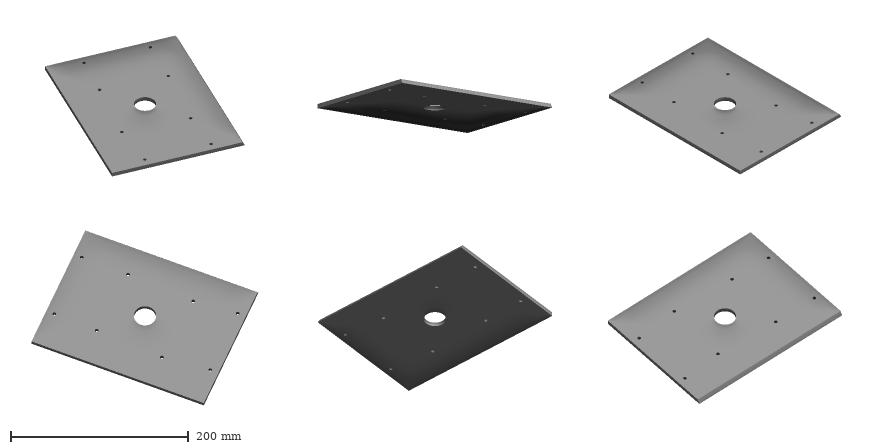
import cadquery as cq
import math

length = 210.0
depth = 160.0
thickness = 5.0
turn_angle = 3.0

bevel_angle = 30.0
bevel_inset = thickness * math.tan(math.radians(bevel_angle))

bore_diameter = 25.0
inner_hole_diameter = 4.1
inner_hole_spacing = 81.3
outer_hole_diameter = 4.1
outer_hole_spacing_x = 190.1
outer_hole_spacing_y = 80.0
outer_hole_offset_y = 3.0


def make_plate():
    """Plate whose rear edge leans forward towards the top face."""
    front = -depth / 2
    rear = depth / 2
    profile = [
        (front, 0),
        (rear, 0),
        (rear - bevel_inset, thickness),
        (front, thickness),
    ]
    return (
        cq.Workplane("YZ")
        .polyline(profile)
        .close()
        .extrude(length / 2, both=True)
    )


def make_hole_cutters(spacing_x, spacing_y, diameter):
    """Four full-depth cylinders at the corners of a centred rectangle."""
    return (
        cq.Workplane("XY")
        .rarray(spacing_x, spacing_y, 2, 2)
        .circle(diameter / 2)
        .extrude(thickness)
    )


outer_holes = make_hole_cutters(
    outer_hole_spacing_x, outer_hole_spacing_y, outer_hole_diameter
).translate((0, outer_hole_offset_y, 0))
turned_plate = make_plate().cut(outer_holes).rotate((0, 0, 0), (0, 0, 1), turn_angle)

bore = cq.Workplane("XY").circle(bore_diameter / 2).extrude(thickness)
inner_holes = make_hole_cutters(inner_hole_spacing, inner_hole_spacing, inner_hole_diameter)

result = turned_plate.cut(bore).cut(inner_holes)